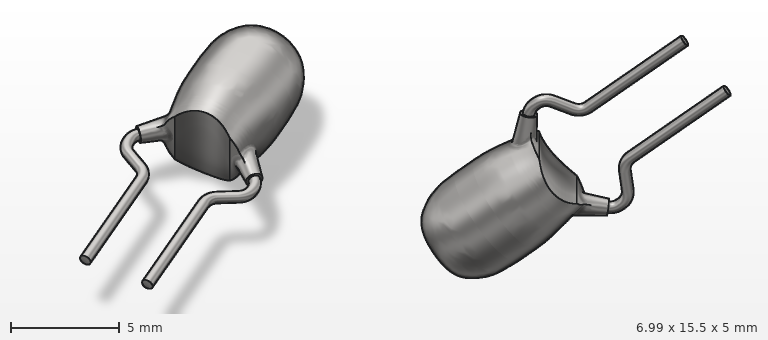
import cadquery as cq
import math

total_length = 15.46

body_diameter = 5.0
body_radius = body_diameter / 2
body_length = 6.91
band_front = total_length - 3.86
band_back = total_length - 2.81
end_flat_radius = 0.9
shoulder_radius = 2.03
shoulder_depth = 0.7
mouth_radius = 2.05
mouth_direction = (0.14, 1)
body_front = total_length - body_length

hollow_half_width = 1.42
hollow_depth = 0.37

wire_radius = 0.28
lead_spacing = 3.22
lead_width = 6.99
bend_radius = 0.74
outer_straight = 0.1
outer_straight_start = total_length - 8.02
slope_angle = math.radians(60)

collar_angle = math.radians(45)
collar_tip_radius = 0.4
collar_root_radius = 0.63
collar_length = 2.16
collar_fillet = 0.34

lead_x = lead_spacing / 2
outer_x = lead_width / 2 - wire_radius
collar_tip_x = outer_x - bend_radius * (1 - math.cos(collar_angle))
collar_tip_y = outer_straight_start + bend_radius * math.sin(collar_angle)
collar_root_x = collar_tip_x - collar_length * math.sin(collar_angle)
collar_root_y = collar_tip_y + collar_length * math.cos(collar_angle)


def make_body():
    """Barrel with a rounded closed end, a cylindrical band and a tapering lead end."""
    profile = (
        cq.Workplane("XY")
        .moveTo(0, body_front)
        .lineTo(mouth_radius, body_front)
        .spline([(body_radius, band_front)], tangents=[mouth_direction, (0, 1)], includeCurrent=True)
        .lineTo(body_radius, band_back)
        .spline(
            [(shoulder_radius, total_length - shoulder_depth), (end_flat_radius, total_length)],
            tangents=[(0, 1), (-1, 0)],
            includeCurrent=True,
        )
        .lineTo(0, total_length)
        .close()
    )
    return profile.revolve(360, (0, 0, 0), (0, 1, 0))


def make_hollow():
    """Shallow arc-shaped cutter running through the body along Z."""
    return (
        cq.Workplane("XY")
        .moveTo(-hollow_half_width, body_front)
        .threePointArc((0, body_front + hollow_depth), (hollow_half_width, body_front))
        .close()
        .extrude(body_radius, both=True)
    )


def make_collar():
    """Cone whose axis slopes outward from inside the body to the bare wire."""
    axis = cq.Vector(math.sin(collar_angle), -math.cos(collar_angle), 0)
    root = cq.Vector(collar_root_x, collar_root_y, 0)
    cone = cq.Solid.makeCone(collar_root_radius, collar_tip_radius, collar_length, root, axis)
    return cq.Workplane(cone)


def make_lead():
    """Round wire bent outward, back inward and then straight down to the tip."""
    upper_y = outer_straight_start
    lower_y = upper_y - outer_straight
    bend_dx = bend_radius * (1 - math.cos(slope_angle))
    bend_dy = bend_radius * math.sin(slope_angle)
    half_dx = bend_radius * (1 - math.cos(slope_angle / 2))
    half_dy = bend_radius * math.sin(slope_angle / 2)
    slope_dx = outer_x - lead_x - 2 * bend_dx
    slope_dy = slope_dx / math.tan(slope_angle)
    straight_y = lower_y - 2 * bend_dy - slope_dy
    collar_mid = (
        outer_x - bend_radius * (1 - math.cos(collar_angle / 2)),
        upper_y + bend_radius * math.sin(collar_angle / 2),
    )
    path = (
        cq.Workplane("XY")
        .moveTo(lead_x, 0)
        .lineTo(lead_x, straight_y)
        .threePointArc(
            (lead_x + half_dx, straight_y + half_dy), (lead_x + bend_dx, straight_y + bend_dy)
        )
        .lineTo(outer_x - bend_dx, lower_y - bend_dy)
        .threePointArc((outer_x - half_dx, lower_y - half_dy), (outer_x, lower_y))
        .lineTo(outer_x, upper_y)
        .threePointArc(collar_mid, (collar_tip_x, collar_tip_y))
        .lineTo((collar_tip_x + collar_root_x) / 2, (collar_tip_y + collar_root_y) / 2)
    )
    return cq.Workplane("XZ", origin=(lead_x, 0, 0)).circle(wire_radius).sweep(path)


def make_both_sides(feature):
    return feature.union(feature.mirror("YZ"))


body = make_body().cut(make_hollow())
collared_body = body.union(make_both_sides(make_collar()))

seam_reach = collar_root_radius
seam_margin = 0.08
for side in (-1, 1):
    seam_box = cq.selectors.BoxSelector(
        (side * (hollow_half_width + seam_margin), body_front - seam_margin, -seam_reach),
        (side * body_radius, body_front + 2 * collar_root_radius, seam_reach),
    )
    collared_body = collared_body.edges(seam_box).fillet(collar_fillet)

result = collared_body.union(make_both_sides(make_lead()))